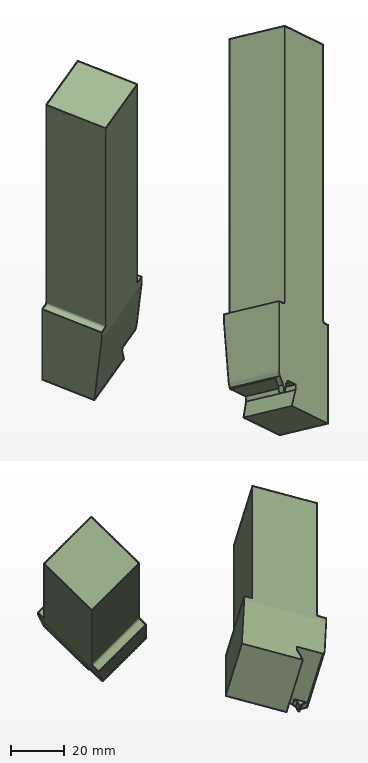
import cadquery as cq
import math

length = 149.0
width = 25.0
shank_depth = 25.0
head_depth = 31.7
head_height = 39.0
back_step = 3.6
shoulder_fillet = 0.9

relief_angle = 5.0
relief_height = 35.5

pocket_roof = 9.2
pocket_wall = 10.7
pocket_wall_foot = 7.2
tip_height = 4.0
tip_outer = 3.3
tip_inner = 3.7
tip_thickness = 2.2
inner_flank_top = 5.8
inner_flank_corner = 8.6
inner_flank_bend = (4.6, 7.7)
outer_flank_bend = (2.7, 6.7)
outer_flank_shoulder = (0.5, 9.5)
outer_flank_top = 11.3
pocket_mouth = 8.2

shank_back = shank_depth / 2
shank_front = -shank_back
head_back = shank_back + back_step
head_front = head_back - head_depth


def from_back(distance, height):
    """Point in the YZ plane, placed by its distance from the head's +Y side."""
    return (head_back - distance, height)


def make_body():
    """Shank, head and tip as one profile extruded across the width."""
    return (
        cq.Workplane("YZ")
        .moveTo(shank_front, length)
        .lineTo(shank_front, head_height)
        .lineTo(head_front, head_height)
        .lineTo(head_front, 0)
        .lineTo(*from_back(pocket_mouth, 0))
        .lineTo(*from_back(pocket_wall, pocket_wall_foot))
        .lineTo(*from_back(pocket_wall, pocket_roof))
        .lineTo(*from_back(inner_flank_top, pocket_roof))
        .lineTo(*from_back(inner_flank_top, inner_flank_corner))
        .lineTo(*from_back(*inner_flank_bend))
        .lineTo(*from_back(tip_inner, tip_height))
        .lineTo(*from_back(tip_outer, tip_height))
        .lineTo(*from_back(*outer_flank_bend))
        .lineTo(*from_back(*outer_flank_shoulder))
        .lineTo(*from_back(0, outer_flank_top))
        .lineTo(head_back, head_height)
        .lineTo(shank_back, head_height)
        .lineTo(shank_back, length)
        .close()
        .extrude(width)
    )


def fillet_shoulders(body):
    """Round the inside corners where the shank meets the head."""
    for side in (shank_front, shank_back):
        corner = cq.selectors.NearestToPointSelector((width / 2, side, head_height))
        body = body.edges(corner).fillet(shoulder_fillet)
    return body


def make_relief():
    """Wedge that tapers the +X side of the head toward its lower end."""
    relief_depth = relief_height * math.tan(math.radians(relief_angle))
    return (
        cq.Workplane("XZ", origin=(0, head_back, 0))
        .moveTo(width, relief_height)
        .lineTo(width, 0)
        .lineTo(width - relief_depth, 0)
        .close()
        .extrude(head_depth)
    )


def make_tip_clearance():
    """Block that leaves the tip only as a thin blade along the -X side."""
    return cq.Workplane("XY").box(
        width - tip_thickness, inner_flank_top, pocket_roof, centered=False
    ).translate((tip_thickness, head_back - inner_flank_top, 0))


body = fillet_shoulders(make_body())
result = body.cut(make_relief()).cut(make_tip_clearance())